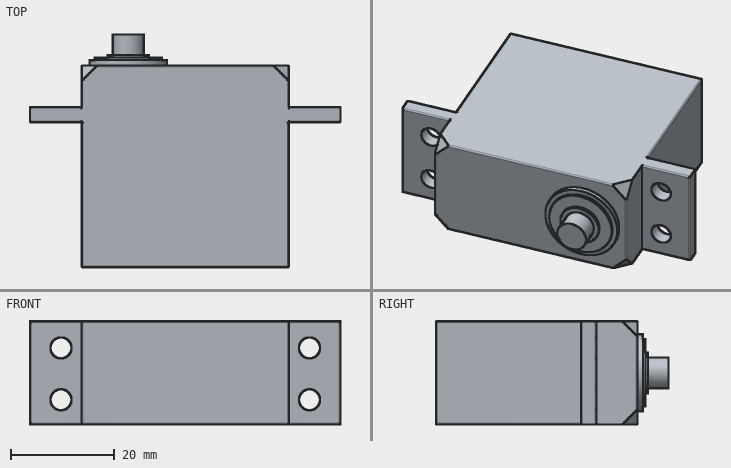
import cadquery as cq


overall_length = 60.0
thickness = 20.0
body_length = 40.0
body_depth = 39.0
ear_thickness = 3.0
ear_setback = 8.0
ear_back = body_depth - ear_setback
ear_front = ear_back - ear_thickness
edge_radius = 0.3
corner_cut = 3.0

hole_diameter = 4.0
hole_end_distance = 6.0
hole_spacing = 10.0
hole_drop = 0.2

shaft_side_distance = 9.0
shaft_x = -body_length / 2 + shaft_side_distance
output_height = 6.0
collar_steps = [
    (15.0, 1.0),
    (13.0, 1.5),
    (8.0, 2.0),
    (6.0, output_height),
]


def block(length, y_start, depth):
    """Box of full thickness, centred on X and Z, reaching depth along Y from y_start."""
    return cq.Workplane("XY", origin=(0, y_start, 0)).box(
        length, depth, thickness, centered=(True, False, True)
    )


def make_body():
    """Main block; its edges along Y are rounded in front of the ears and sharp behind."""
    front = block(body_length, 0, ear_front).edges("<Y or |Y").fillet(edge_radius)
    back = block(body_length, ear_front, body_depth - ear_front)
    back = back.faces(">Y").edges().fillet(edge_radius)
    return front.union(back)


def make_ears():
    """One plate through the body whose two ends form the mounting ears."""
    plate = block(overall_length, ear_front, ear_thickness)
    return plate.faces("<Y or >Y").edges().fillet(edge_radius)


def corner_wedge(side, level):
    """Pyramid removed from one back corner; side and level are the signs of X and Z."""
    corner = cq.Vector(side * body_length / 2, body_depth, level * thickness / 2)
    legs = [
        corner - cq.Vector(side * corner_cut, 0, 0),
        corner - cq.Vector(0, corner_cut, 0),
        corner - cq.Vector(0, 0, level * corner_cut),
    ]
    triangles = [legs] + [[corner, legs[i], legs[(i + 1) % 3]] for i in range(3)]
    faces = [cq.Face.makeFromWires(cq.Wire.makePolygon(t, close=True)) for t in triangles]
    return cq.Solid.makeSolid(cq.Shell.makeShell(faces))


def make_holes():
    """Four cylinders passing through the ears along Y."""
    hole_x = overall_length / 2 - hole_end_distance
    return (
        cq.Workplane("XZ", origin=(0, ear_front, -hole_drop))
        .rarray(2 * hole_x, hole_spacing, 2, 2)
        .circle(hole_diameter / 2)
        .extrude(-ear_thickness)
    )


def make_output():
    """Concentric cylinders rising from the back face."""
    base = cq.Workplane("XZ", origin=(shaft_x, body_depth, 0))
    output = cq.Workplane("XY")
    for diameter, height in collar_steps:
        output = output.union(base.circle(diameter / 2).extrude(-height))
    return output


result = make_body().union(make_ears()).cut(make_holes())
for side in (-1, 1):
    for level in (-1, 1):
        result = result.cut(cq.Workplane(obj=corner_wedge(side, level)))
result = result.union(make_output())